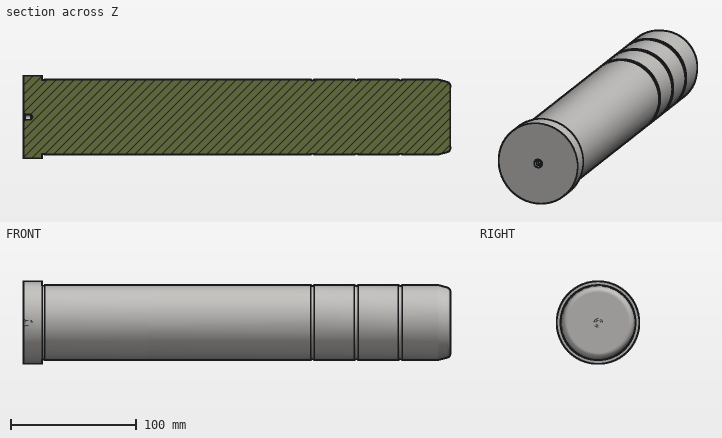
import cadquery as cq
import math

TOTAL_LENGTH = 340.0
HEAD_DIAMETER = 66.0
HEAD_LENGTH = 15.0
SHANK_DIAMETER = 60.0
SHANK_RADIUS = SHANK_DIAMETER / 2

RELIEF_WIDTH = 2.0
RELIEF_DEPTH = 0.5

FIT_END = 99.0

GROOVE_COUNT = 3
GROOVE_PITCH = 35.0
GROOVE_WIDTH = 3.0
GROOVE_DEPTH = 0.75
FIRST_GROOVE_START = 228.5

LEAD_LENGTH = 10.0
LEAD_ANGLE = math.radians(15)
NOSE_RADIUS = 4.0

CENTER_MOUTH_DIAMETER = 6.7
CENTER_BORE_DIAMETER = 4.0
CENTER_BORE_END = 6.0
CENTER_MOUTH_ANGLE = math.radians(90)
DRILL_POINT_ANGLE = math.radians(118)


def pin_body():
    """Revolve the half outline of head, relief, shank and lead end about X."""
    head_radius = HEAD_DIAMETER / 2
    relief_radius = SHANK_RADIUS - RELIEF_DEPTH
    relief_end = HEAD_LENGTH + RELIEF_WIDTH
    lead_start = TOTAL_LENGTH - LEAD_LENGTH

    arc_x = TOTAL_LENGTH - NOSE_RADIUS
    taper_end_x = arc_x + NOSE_RADIUS * math.sin(LEAD_ANGLE)
    taper_end_radius = SHANK_RADIUS - (taper_end_x - lead_start) * math.tan(LEAD_ANGLE)
    end_radius = taper_end_radius - NOSE_RADIUS * math.cos(LEAD_ANGLE)
    mid_angle = (LEAD_ANGLE + math.pi / 2) / 2
    nose_mid = (
        arc_x + NOSE_RADIUS * math.sin(mid_angle),
        end_radius + NOSE_RADIUS * math.cos(mid_angle),
    )

    return (
        cq.Workplane("XZ")
        .moveTo(0, 0)
        .lineTo(0, head_radius)
        .lineTo(HEAD_LENGTH, head_radius)
        .lineTo(HEAD_LENGTH, relief_radius)
        .lineTo(relief_end, relief_radius)
        .lineTo(relief_end, SHANK_RADIUS)
        .lineTo(FIT_END, SHANK_RADIUS)
        .lineTo(lead_start, SHANK_RADIUS)
        .lineTo(taper_end_x, taper_end_radius)
        .threePointArc(nose_mid, (TOTAL_LENGTH, end_radius))
        .lineTo(TOTAL_LENGTH, 0)
        .close()
        .revolve(360, (0, 0, 0), (1, 0, 0), clean=False)
    )


def groove_ring(start_x):
    """Ring with a circular-arc floor, cut into the shank."""
    outside = SHANK_RADIUS + GROOVE_DEPTH
    end_x = start_x + GROOVE_WIDTH
    floor_mid = (start_x + GROOVE_WIDTH / 2, SHANK_RADIUS - GROOVE_DEPTH)
    return (
        cq.Workplane("XZ")
        .moveTo(start_x, outside)
        .lineTo(start_x, SHANK_RADIUS)
        .threePointArc(floor_mid, (end_x, SHANK_RADIUS))
        .lineTo(end_x, outside)
        .close()
        .revolve(360, (0, 0, 0), (1, 0, 0))
    )


def center_hole():
    """Blind center drilling on the axis of the head face."""
    mouth_radius = CENTER_MOUTH_DIAMETER / 2
    bore_radius = CENTER_BORE_DIAMETER / 2
    mouth_depth = (mouth_radius - bore_radius) / math.tan(CENTER_MOUTH_ANGLE / 2)
    point_depth = bore_radius / math.tan(DRILL_POINT_ANGLE / 2)
    return (
        cq.Workplane("XZ")
        .moveTo(0, 0)
        .lineTo(0, mouth_radius)
        .lineTo(mouth_depth, bore_radius)
        .lineTo(CENTER_BORE_END, bore_radius)
        .lineTo(CENTER_BORE_END + point_depth, 0)
        .close()
        .revolve(360, (0, 0, 0), (1, 0, 0))
    )


result = pin_body().cut(center_hole(), clean=False)
for index in range(GROOVE_COUNT):
    groove = groove_ring(FIRST_GROOVE_START + index * GROOVE_PITCH)
    result = result.cut(groove, clean=False)